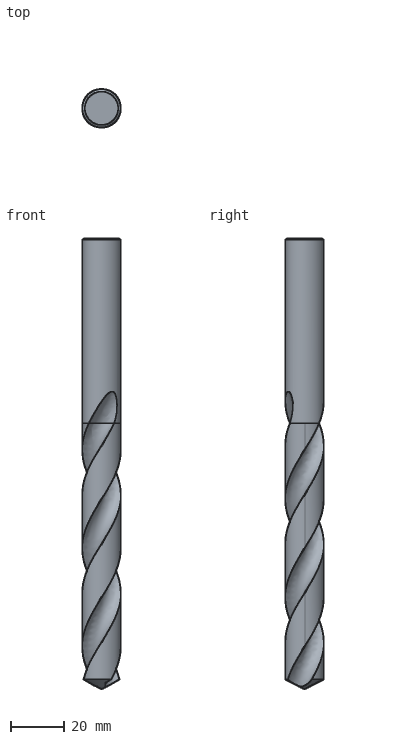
import cadquery as cq
import math

total_length = 169.0
drill_radius = 7.3
fluted_length = 99.7
point_height = 3.7
chamfer_width = 1.0
chamfer_height = 0.7
flute_pitch = 73.7
flute_count = 2
flute_radius = 5.0
flute_offset = 7.3
runout_height = 11.8
runout_angle = 33.0
overrun = 1.7

joint_angle = -90.0
flute_spacing = 360.0 / flute_count
joint_plane = cq.Workplane("XY").workplane(offset=fluted_length)


def rotated_about_axis(shape, angle):
    return shape.rotate((0, 0, 0), (0, 0, 1), angle)


def make_helical_flute():
    """Cutter for one flute, centred on +X at the joint."""
    length = fluted_length + 2 * overrun
    start_angle = -360.0 * (fluted_length + overrun) / flute_pitch
    cutter = (
        cq.Workplane("XY")
        .moveTo(flute_offset, 0)
        .circle(flute_radius)
        .twistExtrude(length, 360.0 * length / flute_pitch)
        .translate((0, 0, -overrun))
    )
    return rotated_about_axis(cutter, start_angle)


def make_runout():
    """Straight slanted cutter that leaves the shank surface at the runout end."""
    exit_offset = drill_radius + flute_radius
    exit_x = exit_offset * math.cos(math.radians(runout_angle))
    exit_y = exit_offset * math.sin(math.radians(runout_angle))
    path = cq.Workplane(
        cq.Edge.makeLine(
            cq.Vector(flute_offset, 0, fluted_length),
            cq.Vector(exit_x, exit_y, fluted_length + runout_height),
        )
    )
    return joint_plane.center(flute_offset, 0).circle(flute_radius).sweep(path)


def cut_flutes(body, cutter):
    for index in range(flute_count):
        body = body.cut(rotated_about_axis(cutter, joint_angle + index * flute_spacing))
    return body


def make_cutting_body():
    """Pointed lower body with helical flutes."""
    blank = (
        cq.Workplane("XZ")
        .polyline([
            (0, 0),
            (drill_radius, point_height),
            (drill_radius, fluted_length),
            (0, fluted_length),
        ])
        .close()
        .revolve(360, (0, 0, 0), (0, 1, 0))
    )
    return cut_flutes(blank, make_helical_flute())


def make_shank():
    """Plain shank with a chamfered top and flute runouts at its lower end."""
    blank = (
        cq.Workplane("XZ")
        .polyline([
            (0, fluted_length),
            (drill_radius, fluted_length),
            (drill_radius, total_length - chamfer_height),
            (drill_radius - chamfer_width, total_length),
            (0, total_length),
        ])
        .close()
        .revolve(360, (0, 0, 0), (0, 1, 0))
    )
    return cut_flutes(blank, make_runout())


cutting_body = make_cutting_body()
shank = make_shank()
result = cq.Compound.makeCompound([cutting_body.solids().val(), shank.solids().val()])